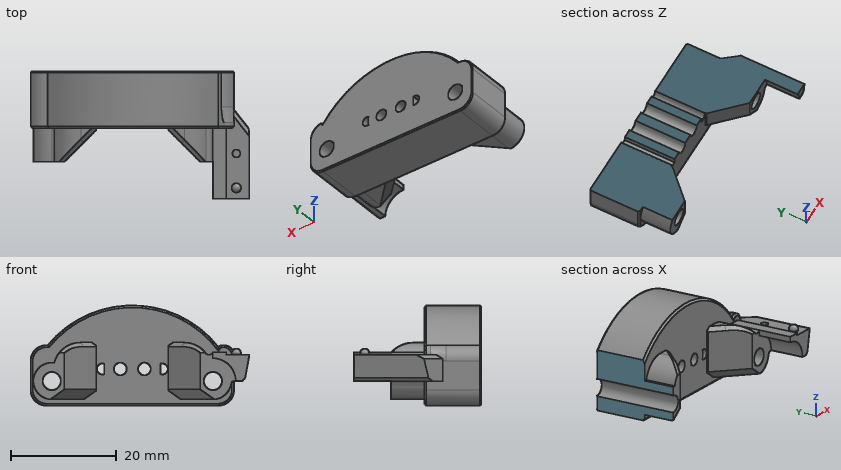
import cadquery as cq
import math

overall_width = 41.5
half_width = 19.3
body_depth = 10.8
body_height = 19.05
arch_radius = 20.75
shoulder_height = 11.5
corner_radius = 6.0 / 2
small_corner_radius = 2.0
notch_x = 16.3
notch_round_width = 0.35
notch_round_drop = 0.12
corner_blend_front_y = 1.15
corner_blend_back_y = 4.05
front_chamfer = 0.4
back_chamfer = 0.25

boss_x = 15.25
boss_z = 4.7
boss_radius = 3.5
boss_hole_diameter = 3.4
wing_depth = 6.35
wing_inner_x = 6.8
wing_side_depth = 0.3
wing_top = 12.0
wing_arc_x = 9.8
wing_arc_radius = 5.2
wing_top_chamfer = 0.85
wing_bottom_chamfer = 1.9

hole_row_z = 6.95
round_hole_x = 2.3
round_hole_diameter = 2.35
flat_hole_x = 5.7
flat_hole_diameter = 2.05
flat_hole_edge_x = 5.35

arm_front = -13.35
arm_back = 3.75
arm_left = boss_x
arm_right = overall_width - half_width
arm_top = 9.7
ridge_height = 0.4
ridge_right = 17.8
arm_edge_height = 0.12
arm_foot_x = 21.4
arm_foot_z = 5.25
arm_foot_cut = 0.6
arm_clearance_radius = 4.3
root_fillet_radius = 0.85
saddle_start_x = 13.8
saddle_low_x = 14.45
saddle_low_z = 9.65
taper_start = (19.3, 3.5)
taper_end = (22.03, 0.0)
taper_chamfer = 0.85

pin_x = 19.7
pin_y = -11.3
pin_diameter = 1.8
pin_straight_height = 0.25
socket_y = -4.75
socket_diameter = 1.5
socket_depth = 1.25


def front_plane(y):
    """Sketch plane in X and Z at depth y; positive extrusion goes toward -Y."""
    return cq.Workplane("XZ", origin=(0, y, 0))


def make_housing():
    arch_centre_z = body_height - arch_radius
    arch_left_x = -math.sqrt(arch_radius**2 - (shoulder_height - arch_centre_z) ** 2)
    notch_z = arch_centre_z + math.sqrt(arch_radius**2 - notch_x**2)
    flat_x = half_width - corner_radius
    diagonal = math.sqrt(0.5)
    inset = corner_radius * (1 - diagonal)
    small_inset = small_corner_radius * (1 - diagonal)
    plate = (
        front_plane(body_depth)
        .moveTo(-flat_x, 0)
        .lineTo(flat_x, 0)
        .threePointArc((half_width - inset, inset), (half_width, corner_radius))
        .lineTo(half_width, shoulder_height - small_corner_radius)
        .threePointArc(
            (half_width - small_inset, shoulder_height - small_inset),
            (half_width - small_corner_radius, shoulder_height),
        )
        .threePointArc(
            (notch_x + notch_round_width, shoulder_height - notch_round_drop),
            (notch_x, notch_z),
        )
        .threePointArc((0, body_height), (arch_left_x, shoulder_height))
        .lineTo(-flat_x, shoulder_height)
        .threePointArc(
            (-half_width + inset, shoulder_height - inset),
            (-half_width, shoulder_height - corner_radius),
        )
        .lineTo(-half_width, corner_radius)
        .threePointArc((-half_width + inset, inset), (-flat_x, 0))
        .close()
        .extrude(body_depth)
    )
    plate = plate.faces("<Y").chamfer(front_chamfer)
    return plate.cut(make_corner_trim()).faces(">Y").chamfer(back_chamfer)


def corner_outside(workplane, radius):
    """Outline of what lies outside the upper right corner rounded to a given radius."""
    inset = radius * (1 - math.sqrt(0.5))
    outer_x = half_width + corner_radius
    outer_z = shoulder_height + corner_radius
    return (
        workplane.moveTo(half_width - radius, shoulder_height)
        .threePointArc(
            (half_width - inset, shoulder_height - inset),
            (half_width, shoulder_height - radius),
        )
        .lineTo(outer_x, shoulder_height - radius)
        .lineTo(outer_x, outer_z)
        .lineTo(half_width - radius, outer_z)
        .close()
    )


def make_corner_trim():
    """Rounds the upper right corner more at the back, blending to the tighter front corner."""
    back = corner_outside(front_plane(body_depth), corner_radius).extrude(
        body_depth - corner_blend_back_y
    )
    blend_start = corner_outside(front_plane(corner_blend_back_y), corner_radius)
    blend_length = corner_blend_back_y - corner_blend_front_y
    blend = corner_outside(
        blend_start.workplane(offset=blend_length), small_corner_radius
    ).loft(ruled=True)
    return back.union(blend)


def wing_arc_height(x):
    """Height of the wing's rounded shoulder at a given x."""
    arc_z = wing_top - wing_arc_radius
    return arc_z + math.sqrt(wing_arc_radius**2 - (x - wing_arc_x) ** 2)


def make_right_wing():
    boss_bottom = boss_z - boss_radius
    boss_top = boss_z + boss_radius
    arc_z = wing_top - wing_arc_radius
    arc_end_x = wing_arc_x + math.sqrt(wing_arc_radius**2 - (boss_top - arc_z) ** 2)
    arc_middle_x = (wing_arc_x + arc_end_x) / 2
    arc_middle = (arc_middle_x, wing_arc_height(arc_middle_x))
    outline = (
        front_plane(0)
        .moveTo(wing_inner_x, boss_bottom)
        .lineTo(boss_x, boss_bottom)
        .threePointArc((boss_x + boss_radius, boss_z), (boss_x, boss_top))
        .lineTo(arc_end_x, boss_top)
        .threePointArc(arc_middle, (wing_arc_x, wing_top))
        .lineTo(wing_inner_x, wing_top)
        .close()
        .extrude(wing_depth)
    )
    slope_face = cq.selectors.ParallelDirSelector(cq.Vector(1, 1, 0))
    slope_run = wing_depth - wing_side_depth
    block = (
        cq.Workplane("XY", origin=(0, 0, boss_bottom))
        .moveTo(wing_inner_x, 0)
        .lineTo(half_width, 0)
        .lineTo(half_width, -wing_depth)
        .lineTo(wing_inner_x + slope_run, -wing_depth)
        .lineTo(wing_inner_x, -wing_side_depth)
        .close()
        .extrude(wing_top - boss_bottom)
        .faces(slope_face)
        .edges("<Z")
        .chamfer(wing_bottom_chamfer)
    )
    wing = block.intersect(outline)
    upper_edges = cq.selectors.BoxSelector(
        (wing_inner_x, -wing_depth, boss_top), (boss_x, 0, 2 * wing_top)
    )
    slope_edges = wing.faces(slope_face).edges(upper_edges)
    top_line_and_arc = cq.selectors.SumSelector(
        cq.selectors.StringSyntaxSelector(">Z"),
        cq.selectors.StringSyntaxSelector("%ELLIPSE"),
    )
    return slope_edges.edges(top_line_and_arc).chamfer(wing_top_chamfer)


def make_arm():
    arm_bottom = boss_z
    arm = (
        front_plane(arm_back)
        .moveTo(arm_left, arm_bottom)
        .lineTo(arm_left, arm_top + ridge_height)
        .lineTo(ridge_right, arm_top + ridge_height)
        .lineTo(ridge_right, arm_top)
        .lineTo(arm_right, arm_top)
        .lineTo(arm_right, arm_top - arm_edge_height)
        .lineTo(arm_foot_x, arm_foot_z)
        .lineTo(arm_foot_x - arm_foot_cut, arm_bottom)
        .close()
        .extrude(arm_back - arm_front)
    )
    clearance = (
        front_plane(-wing_depth)
        .center(boss_x, boss_z)
        .circle(arm_clearance_radius)
        .extrude(-wing_depth - arm_front)
    )
    return trim_arm_back(arm.cut(clearance))


def trim_arm_back(arm):
    """Cut the arm's rear corner along an oblique upright face, chamfered along its top."""
    run_x = taper_end[0] - taper_start[0]
    run_y = taper_end[1] - taper_start[1]
    run = math.hypot(run_x, run_y)
    taper_plane = cq.Plane(
        origin=(taper_start[0], taper_start[1], arm_top),
        xDir=(-run_y / run, run_x / run, 0),
        normal=(run_x, run_y, 0),
    )
    reach = arm_top
    cutter = (
        cq.Workplane(taper_plane)
        .moveTo(-taper_chamfer, 0)
        .lineTo(0, -taper_chamfer)
        .lineTo(0, -reach)
        .lineTo(reach, -reach)
        .lineTo(reach, reach)
        .lineTo(-taper_chamfer, reach)
        .close()
        .extrude(reach, both=True)
    )
    return arm.cut(cutter)


def make_arm_root():
    """Solid joining the right-hand boss and wing to the arm."""
    ridge_top = arm_top + ridge_height
    saddle = (
        front_plane(0)
        .moveTo(saddle_start_x, boss_z)
        .lineTo(saddle_start_x, wing_arc_height(saddle_start_x))
        .threePointArc((saddle_low_x, saddle_low_z), (arm_left, ridge_top))
        .lineTo(arm_left, boss_z)
        .close()
        .extrude(wing_depth)
    )
    fillet_z = boss_z - root_fillet_radius
    centre_distance = boss_radius + root_fillet_radius
    fillet_x = boss_x + math.sqrt(centre_distance**2 - root_fillet_radius**2)
    touch = boss_radius / centre_distance
    touch_x = boss_x + touch * (fillet_x - boss_x)
    touch_z = boss_z - touch * root_fillet_radius
    web = (
        front_plane(0)
        .moveTo(boss_x, boss_z)
        .lineTo(touch_x, touch_z)
        .lineTo(fillet_x, touch_z)
        .lineTo(fillet_x, boss_z)
        .close()
        .extrude(wing_depth)
    )
    hollow = (
        front_plane(0)
        .center(fillet_x, fillet_z)
        .circle(root_fillet_radius)
        .extrude(wing_depth)
    )
    return saddle.union(web.cut(hollow))


def make_pin():
    radius = pin_diameter / 2
    dome_z = arm_top + pin_straight_height
    stem = (
        cq.Workplane("XY", origin=(pin_x, pin_y, arm_top - radius))
        .circle(radius)
        .extrude(dome_z - arm_top + radius)
    )
    dome = cq.Workplane("XY", origin=(pin_x, pin_y, dome_z)).sphere(radius)
    return stem.union(dome)


def make_openings():
    """Everything bored from front to back through the housing and bosses."""
    bore_plane = front_plane(body_depth)
    bore_length = body_depth + wing_depth
    openings = (
        bore_plane.pushPoints([(-boss_x, boss_z), (boss_x, boss_z)])
        .circle(boss_hole_diameter / 2)
        .extrude(bore_length)
    )
    round_holes = (
        bore_plane.pushPoints([(-round_hole_x, hole_row_z), (round_hole_x, hole_row_z)])
        .circle(round_hole_diameter / 2)
        .extrude(body_depth)
    )
    flat_radius = flat_hole_diameter / 2
    flat_offset = flat_hole_x - flat_hole_edge_x
    half_flat = math.sqrt(flat_radius**2 - flat_offset**2)
    flat_hole = (
        bore_plane.moveTo(flat_hole_edge_x, hole_row_z - half_flat)
        .threePointArc(
            (flat_hole_x + flat_radius, hole_row_z),
            (flat_hole_edge_x, hole_row_z + half_flat),
        )
        .close()
        .extrude(body_depth)
    )
    return openings.union(round_holes).union(flat_hole).union(flat_hole.mirror("YZ"))


def make_socket():
    return (
        cq.Workplane("XY", origin=(pin_x, socket_y, arm_top - socket_depth))
        .circle(socket_diameter / 2)
        .extrude(socket_depth)
    )


right_wing = make_right_wing()
left_wing = right_wing.mirror("YZ")
result = (
    make_housing()
    .union(right_wing)
    .union(left_wing)
    .union(make_arm())
    .union(make_arm_root())
    .union(make_pin())
    .cut(make_openings())
    .cut(make_socket())
)